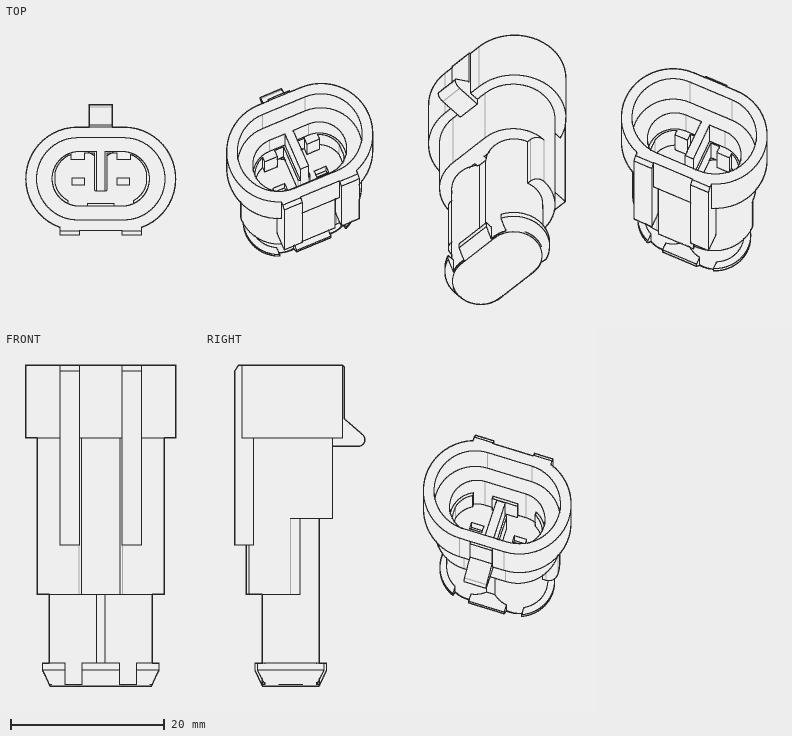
import cadquery as cq
import math

total_height = 42.0
lobe_spacing = 6.05

flange_radius = 6.75
flange_length = 19.6
flange_bottom = 32.5
mouth_radius = 5.38
mouth_length = 16.8
mouth_floor = 34.0

body_radius = 5.45
body_length = 16.65
body_step = 21.92
body_bottom = 12.05
half_shell_back = 1.2
half_shell_rounding = 1.25
pad_width = 5.05
pad_front = -5.85

rail_inner_x = 2.77
rail_outer_x = 5.35
rail_front = -7.35
rail_bottom = 18.5
rail_bevel_depth = 0.5
rail_bevel_height = 0.8

latch_width = 3.02
latch_face = 7.0
latch_bevel = 0.25
hook_tip = 9.7
hook_bottom = 31.37
hook_nose_radius = 0.9
hook_angle = math.radians(41)

tube_radius = 3.75
web_width = 1.18
web_thickness = 5.63
collar_length = 15.3
collar_radius = 4.7
collar_top = 3.05
collar_edge = 2.15
collar_end_inset = 1.0
collar_base = 0.25
gap_inner_x = 2.45
gap_outer_x = 4.7

socket_length = 12.73
socket_radius = 3.55
socket_floor = body_step
liner_top = 27.7
liner_length = 12.1
liner_radius = 3.3
liner_width = 11.93
liner_offset_y = 0.1
window_inner_x = 1.72
window_outer_x = 4.3
key_end = -1.6
key_width = 1.18
key_foot_width = 1.7
key_foot_rounding = 0.25
side_key_inner_x = 2.1
side_key_outer_x = 3.9
side_key_end = 2.5

slot_inner_x = 2.1
slot_outer_x = 3.8
slot_front = -0.8
slot_back = 0.1
slot_depth = 2.5


def block(x_min, x_max, y_min, y_max, z_min, z_max):
    """Box given by its limits along each axis."""
    size = (x_max - x_min, y_max - y_min, z_max - z_min)
    return cq.Workplane("XY").box(*size, centered=False).translate((x_min, y_min, z_min))


def mirrored_blocks(x_inner, x_outer, *limits):
    """The same box on the right and on the left of the middle plane."""
    right = block(x_inner, x_outer, *limits)
    return right.union(right.mirror("YZ"))


def stadium(length, radius, z_min, z_max):
    """Upright prism with a rounded-end oblong section."""
    sketch = cq.Workplane("XY").workplane(offset=z_min).slot2D(length, 2 * radius)
    return sketch.extrude(z_max - z_min)


def make_body():
    upper = stadium(body_length, body_radius, body_step, flange_bottom)
    lower = stadium(body_length, body_radius, body_bottom, body_step)
    half_length = body_length / 2
    keep = block(-half_length, half_length, -body_radius, half_shell_back, body_bottom, body_step)
    keep = keep.edges("|Z and >Y").fillet(half_shell_rounding)
    return upper.union(lower.intersect(keep))


def make_pad():
    return block(-pad_width / 2, pad_width / 2, pad_front, 0, body_bottom, flange_bottom)


def make_rails():
    profile = [
        (0, rail_bottom),
        (rail_front, rail_bottom),
        (rail_front, total_height - rail_bevel_height),
        (rail_front + rail_bevel_depth, total_height),
        (0, total_height),
    ]
    right = cq.Workplane("YZ").workplane(offset=rail_inner_x).polyline(profile).close()
    right = right.extrude(rail_outer_x - rail_inner_x)
    return right.union(right.mirror("YZ"))


def make_latch():
    apex = hook_tip - hook_nose_radius + hook_nose_radius / math.tan(hook_angle / 2)
    slope_top = hook_bottom + (apex - latch_face) * math.tan(hook_angle)
    profile = [
        (0, hook_bottom),
        (apex, hook_bottom),
        (latch_face, slope_top),
        (latch_face, total_height - latch_bevel),
        (latch_face - latch_bevel, total_height),
        (0, total_height),
    ]
    latch = cq.Workplane("YZ").polyline(profile).close().extrude(latch_width / 2, both=True)
    return latch.edges("|X and >Y").fillet(hook_nose_radius)


def make_tubes():
    base = cq.Workplane("XY").workplane(offset=collar_base)
    height = body_step - collar_base
    tubes = base.rect(web_width, web_thickness).extrude(height)
    for x in (-lobe_spacing / 2, lobe_spacing / 2):
        tubes = tubes.union(base.center(x, 0).circle(tube_radius).extrude(height))
    return tubes


def make_collar():
    band = stadium(collar_length, collar_radius, collar_edge, collar_top)
    taper = math.degrees(math.atan2(collar_end_inset, collar_edge))
    cone = cq.Workplane("XY").workplane(offset=collar_edge).slot2D(collar_length, 2 * collar_radius)
    collar = band.union(cone.extrude(-collar_edge, taper=taper))
    gaps = mirrored_blocks(
        gap_inner_x, gap_outer_x, -collar_radius, collar_radius, collar_base, collar_top
    )
    return collar.cut(gaps)


def make_socket():
    """Space inside the housing, with the liner and the keys left standing."""
    socket = stadium(socket_length, socket_radius, liner_top, mouth_floor)

    lower = stadium(liner_length, liner_radius, socket_floor, liner_top)
    lower = lower.translate((0, liner_offset_y, 0))
    half_width = liner_width / 2
    limits = block(-half_width, half_width, -body_radius, body_radius, socket_floor, liner_top)
    windows = mirrored_blocks(
        window_inner_x, window_outer_x, -socket_radius, 0, socket_floor, liner_top
    )
    full_section = stadium(socket_length, socket_radius, socket_floor, liner_top)
    lower = lower.intersect(limits).union(windows.intersect(full_section))

    key = block(-key_width / 2, key_width / 2, key_end, socket_radius, socket_floor, mouth_floor)
    half_foot = key_foot_width / 2
    foot = block(-half_foot, half_foot, key_end, socket_radius, socket_floor, liner_top)
    foot = foot.edges("|Z and <Y").fillet(key_foot_rounding)
    side_keys = mirrored_blocks(
        side_key_inner_x, side_key_outer_x, side_key_end, socket_radius, socket_floor, liner_top
    )
    socket = socket.union(lower).cut(key).cut(foot).cut(side_keys)
    return socket.union(stadium(mouth_length, mouth_radius, mouth_floor, total_height))


def make_terminal_slots():
    return mirrored_blocks(
        slot_inner_x, slot_outer_x, slot_front, slot_back, socket_floor - slot_depth, socket_floor
    )


flange = stadium(flange_length, flange_radius, flange_bottom, total_height)
housing = make_body().union(flange)
for feature in (make_pad(), make_rails(), make_latch(), make_tubes(), make_collar()):
    housing = housing.union(feature)
result = housing.cut(make_socket()).cut(make_terminal_slots())